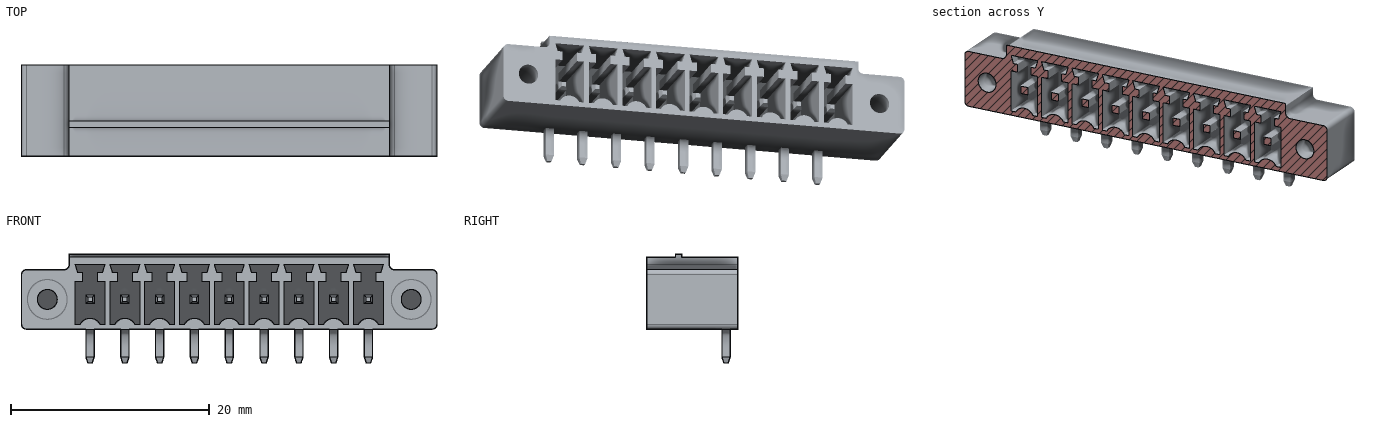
import cadquery as cq

contact_count = 9
pitch = 3.5
row_span = (contact_count - 1) * pitch
contact_x = [i * pitch - row_span / 2 for i in range(contact_count)]

total_width = 41.8
depth = 9.2
flange_height = 6.0
center_width = 32.2
center_height = 7.25
corner_radius = 0.5

ridge_height = 0.3
ridge_width = 0.65
ridge_front = 2.9

pocket_width = 3.0
pocket_floor = 0.5
pocket_top = 6.5
pocket_depth = 7.0
neck_width = 1.5
neck_bottom = 4.8
neck_top = 5.7
dovetail_base_width = 2.5
bump_width = 2.0
bump_height = 0.6

pin_size = 0.85
pin_axis_z = 3.0
pin_tail_setback = 1.2
pin_tail_y = depth - pin_tail_setback
pin_tail_length = 3.4
pin_front_y = 2.2
tip_length = 0.6
tip_size = 0.45

insert_spacing = 4.3
insert_x = row_span / 2 + insert_spacing
insert_z = 3.0
insert_diameter = 4.0
insert_depth = 8.0
insert_hole_diameter = 2.0
insert_hole_depth = 6.0


def make_block(width, height):
    """Full-depth block centred on X, with its front face on Y = 0 and its underside on Z = 0."""
    return cq.Workplane("XY").box(width, depth, height, centered=(True, False, False))


def make_housing():
    """Rounded flange block with a taller center block, filleted at the steps, and the ridge on top."""
    flange = make_block(total_width, flange_height).edges("|Y").fillet(corner_radius)
    body = flange.union(make_block(center_width, center_height))
    for side in (-1, 1):
        step_point = (side * center_width / 2, depth / 2, flange_height)
        body = body.edges(cq.selectors.NearestToPointSelector(step_point)).fillet(corner_radius)
    ridge = cq.Workplane("XY").box(center_width, ridge_width, ridge_height, centered=(True, False, False))
    return body.union(ridge.translate((0, ridge_front, center_height)))


def make_pocket(x):
    """Keyhole-shaped pocket with a dovetail at the top and a rounded bump on its floor."""
    half_pocket = pocket_width / 2
    half_neck = neck_width / 2
    half_base = dovetail_base_width / 2
    half_bump = bump_width / 2
    return (
        cq.Workplane("XZ", origin=(x, 0, 0))
        .moveTo(-half_pocket, pocket_floor)
        .lineTo(-half_bump, pocket_floor)
        .threePointArc((0, pocket_floor + bump_height), (half_bump, pocket_floor))
        .lineTo(half_pocket, pocket_floor)
        .lineTo(half_pocket, neck_bottom)
        .lineTo(half_neck, neck_bottom)
        .lineTo(half_neck, neck_top)
        .lineTo(half_base, neck_top)
        .lineTo(half_pocket, pocket_top)
        .lineTo(-half_pocket, pocket_top)
        .lineTo(-half_base, neck_top)
        .lineTo(-half_neck, neck_top)
        .lineTo(-half_neck, neck_bottom)
        .lineTo(-half_pocket, neck_bottom)
        .close()
        .extrude(-pocket_depth)
    )


def make_bar(plane, length):
    """Square bar along the plane normal, ending in a tapered tip; length includes the tip."""
    shank_length = length - tip_length
    shank = cq.Workplane(plane).rect(pin_size, pin_size).extrude(shank_length)
    tip = (
        cq.Workplane(plane)
        .workplane(offset=shank_length)
        .rect(pin_size, pin_size)
        .workplane(offset=tip_length)
        .rect(tip_size, tip_size)
        .loft(ruled=True)
    )
    return shank.union(tip)


def make_pin(x):
    """Right-angle pin: one leg points to the front, the other down out of the housing."""
    bend_y = pin_tail_y + pin_size / 2
    bend_z = pin_axis_z + pin_size / 2
    contact_plane = cq.Plane(origin=(x, bend_y, pin_axis_z), xDir=(1, 0, 0), normal=(0, -1, 0))
    tail_plane = cq.Plane(origin=(x, pin_tail_y, bend_z), xDir=(1, 0, 0), normal=(0, 0, -1))
    contact = make_bar(contact_plane, bend_y - pin_front_y)
    tail = make_bar(tail_plane, bend_z + pin_tail_length)
    return contact.union(tail)


def add_inserts(body):
    """Set the inserts flush in the flanges, keeping the seam around each one."""
    for x in (-insert_x, insert_x):
        plane = cq.Workplane("XZ", origin=(x, 0, insert_z))
        seat = plane.circle(insert_diameter / 2).extrude(-insert_depth)
        bore = plane.circle(insert_hole_diameter / 2).extrude(-insert_hole_depth)
        body = body.cut(seat, clean=False).union(seat.cut(bore), clean=False)
    return body


housing = make_housing()
for x in contact_x:
    housing = housing.cut(make_pocket(x))
for x in contact_x:
    housing = housing.union(make_pin(x))

result = add_inserts(housing)